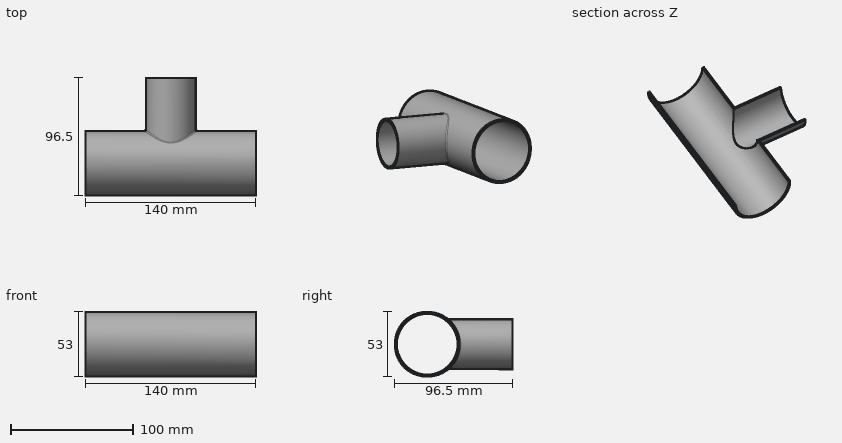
import cadquery as cq

run_length = 140.0
run_outer_diameter = 53.0
branch_outer_diameter = 41.0
wall = 1.5
branch_reach = 70.0
joint_fillet = 1.0

run_bore_diameter = run_outer_diameter - 2 * wall
branch_bore_diameter = branch_outer_diameter - 2 * wall


def run_cylinder(diameter):
    """Cylinder along X, centred on the origin."""
    return cq.Workplane("YZ").circle(diameter / 2).extrude(run_length / 2, both=True)


def branch_cylinder(diameter):
    """Cylinder along +Y, from the run axis to the open end of the branch."""
    return cq.Workplane("XZ").circle(diameter / 2).extrude(-branch_reach)


outer_body = run_cylinder(run_outer_diameter).union(branch_cylinder(branch_outer_diameter))
joint_box = cq.selectors.BoxSelector(
    (-branch_outer_diameter, 0, -run_outer_diameter),
    (branch_outer_diameter, run_outer_diameter / 2 + wall, run_outer_diameter),
    boundingbox=True,
)
outer_body = outer_body.edges(joint_box).fillet(joint_fillet)

result = outer_body.cut(run_cylinder(run_bore_diameter)).cut(branch_cylinder(branch_bore_diameter))